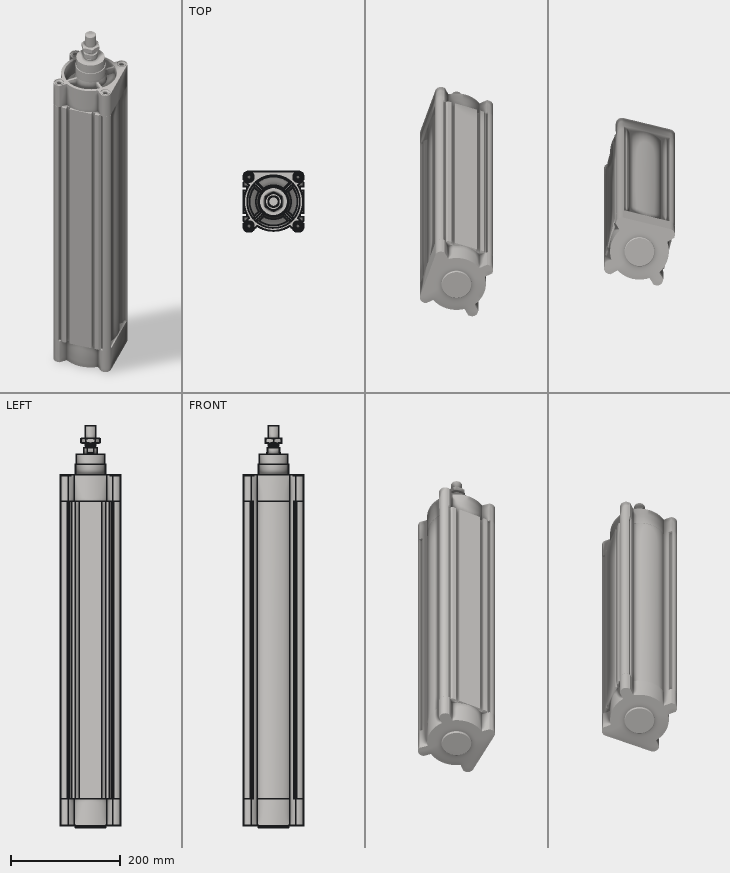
import cadquery as cq
import math

side = 110.0
half_side = side / 2
body_length = 638.0
cap_length = 48.5
collar_diameter = 55.0
bottom_collar_height = 4.0
bottom_collar_chamfer = 1.0
collar_base_height = 19.5
collar_neck_diameter = 52.0
collar_neck_height = 18.0

cap_belly_radius = 53.5
tube_belly_radius = 53.0
post_offset = 44.5
cap_post_radius = half_side - post_offset
tube_post_radius = 10.0
post_flat_end = 40.5
flank_run = 13.0
cap_wall_thickness = 17.0

side_flat_half = 34.5
side_flat_chamfer = 4.0
sensor_slot_offset = 24.2
sensor_slot_width = 6.6
sensor_slot_depth = 6.0

post_slot_mouth_depth = 5.0
post_slot_total_depth = 9.0
x_slot_offset = 40.5
x_slot_mouth_width = 4.1
x_slot_inner_width = 1.0
y_slot_offset = 39.5
y_slot_mouth_width = 6.1
y_slot_inner_width = 2.0

recess_outer_radius = 48.0
recess_inner_radius = collar_diameter / 2
recess_draft = 10.0
pocket_depth = 26.0
port_side_pocket_depth = 13.0
rib_width = 4.0
rib_drop = 1.5

screw_recess_diameter = 17.9
screw_recess_depth = 2.0
screw_head_diameter = 15.0
screw_hole_diameter = 8.38
screw_hole_depth = 20.0
screw_hole_mouth_diameter = 11.4

rod_diameter = 25.0
rod_flats = 22.0
rod_flats_length = 9.5
thread_diameter = 20.0
thread_length = 40.0
thread_core_diameter = 18.38
relief_diameter = 17.9
relief_width = 4.4
relief_cone_height = 1.4
total_length = 731.5

nut_across_flats = 30.0
nut_thickness = 9.0
nut_drop = 23.0
nut_crown_angle = 30.0

head_cap_bottom = body_length - cap_length
collar_step = body_length + collar_base_height
collar_top = collar_step + collar_neck_height
rod_tip = total_length - bottom_collar_height
rod_shoulder = rod_tip - thread_length
rod_bottom = head_cap_bottom
nut_bottom = rod_tip - nut_drop - nut_thickness

post_centres = [(sx * post_offset, sy * post_offset) for sx in (-1, 1) for sy in (-1, 1)]


def plane_at(height):
    return cq.Workplane("XY").workplane(offset=height)


def about_z(body, angle):
    return body.rotate((0, 0, 0), (0, 0, 1), angle)


def cylinder(diameter, bottom, top):
    return plane_at(bottom).circle(diameter / 2).extrude(top - bottom)


def cone(bottom_diameter, top_diameter, bottom, top):
    solid = cq.Solid.makeCone(bottom_diameter / 2, top_diameter / 2, top - bottom, cq.Vector(0, 0, bottom))
    return cq.Workplane(obj=solid)


def block(x_size, y_size, x, y, bottom, top):
    return plane_at(bottom).center(x, y).rect(x_size, y_size).extrude(top - bottom)


def corner_post(round_radius, bottom, top):
    """Post at the -X, -Y corner: rounded outside, 45 degree flanks towards both neighbours."""
    round_start = -half_side + round_radius
    round_middle = round_start - round_radius * math.sqrt(0.5)
    flank_end = -post_flat_end + flank_run
    flank_depth = -half_side + flank_run
    outline = (
        plane_at(bottom)
        .moveTo(round_start, -half_side)
        .lineTo(-post_flat_end, -half_side)
        .lineTo(flank_end, flank_depth)
        .lineTo(flank_depth, flank_end)
        .lineTo(-half_side, -post_flat_end)
        .lineTo(-half_side, round_start)
        .threePointArc((round_middle, round_middle), (round_start, -half_side))
        .close()
    )
    return outline.extrude(top - bottom)


def belly_with_posts(belly_radius, post_radius, bottom, top):
    solid = cylinder(2 * belly_radius, bottom, top)
    post = corner_post(post_radius, bottom, top)
    for quarter in range(4):
        solid = solid.union(about_z(post, 90 * quarter))
    return solid


def cap(bottom, top):
    """Cap with its +Y side filled out to a flat wall between the posts."""
    wall_middle = half_side - cap_wall_thickness / 2
    wall = block(2 * post_offset, cap_wall_thickness, 0, wall_middle, bottom, top)
    return belly_with_posts(cap_belly_radius, cap_post_radius, bottom, top).union(wall)


def post_slot(offset, mouth_width, inner_width, bottom, top):
    """Stepped slot cut into the -Y face at the given X."""
    slot = block(mouth_width, 2 * post_slot_mouth_depth, offset, -half_side, bottom, top)
    return slot.union(block(inner_width, 2 * post_slot_total_depth, offset, -half_side, bottom, top))


def tube(bottom, top):
    side_width = 2 * (side_flat_half + side_flat_chamfer)
    sides = block(side, side_width, 0, 0, bottom, top).edges("|Z").chamfer(side_flat_chamfer)
    solid = belly_with_posts(tube_belly_radius, tube_post_radius, bottom, top).union(sides)
    for sign in (-1, 1):
        y_side_slot = post_slot(sign * y_slot_offset, y_slot_mouth_width, y_slot_inner_width, bottom, top)
        x_side_slot = post_slot(sign * x_slot_offset, x_slot_mouth_width, x_slot_inner_width, bottom, top)
        sensor_slot = block(
            sensor_slot_width, 2 * sensor_slot_depth, sign * sensor_slot_offset, -half_side, bottom, top
        )
        for angle in (0, 180):
            solid = solid.cut(about_z(y_side_slot, angle))
            solid = solid.cut(about_z(x_side_slot, angle + 90))
            solid = solid.cut(about_z(sensor_slot, angle + 90))
    return solid


def ring_recess():
    """Drafted ring around the collar, split into four pockets by drafted ribs on the diagonals."""
    floor = body_length - pocket_depth
    draft = pocket_depth * math.tan(math.radians(recess_draft))
    outer = cone(2 * (recess_outer_radius - draft), 2 * recess_outer_radius, floor, body_length)
    inner = cone(2 * (recess_inner_radius + draft), 2 * recess_inner_radius, floor, body_length)
    ring = outer.cut(inner)

    rib_top = body_length - rib_drop
    rib_foot = rib_width / 2 + (rib_top - floor) * math.tan(math.radians(recess_draft))
    rib_profile = [
        (-rib_foot, floor),
        (rib_foot, floor),
        (rib_width / 2, rib_top),
        (-rib_width / 2, rib_top),
    ]
    rib = cq.Workplane("XZ").polyline(rib_profile).close().extrude(half_side, both=True)
    for angle in (45, -45):
        ring = ring.cut(about_z(rib, angle))

    raised_floor = (
        plane_at(floor)
        .polyline([(0, 0), (half_side, half_side), (-half_side, half_side)])
        .close()
        .extrude(pocket_depth - port_side_pocket_depth)
    )
    return ring.cut(raised_floor)


def screw_recess(x, y):
    """Annular gap around the screw head, and the threaded hole in the head with its conical mouth."""
    recess_floor = body_length - screw_recess_depth
    recess = cylinder(screw_recess_diameter, recess_floor, body_length)
    recess = recess.cut(cylinder(screw_head_diameter, recess_floor, body_length))
    hole = cylinder(screw_hole_diameter, body_length - screw_hole_depth, body_length)
    mouth_depth = (screw_hole_mouth_diameter - screw_hole_diameter) / 2
    mouth = cone(screw_hole_diameter, screw_hole_mouth_diameter, body_length - mouth_depth, body_length)
    return recess.union(hole).union(mouth).translate((x, y, 0))


def make_housing():
    solid = cap(0, cap_length)
    solid = solid.union(tube(cap_length, head_cap_bottom))
    solid = solid.union(cap(head_cap_bottom, body_length))
    bottom_collar = cylinder(collar_diameter, -bottom_collar_height, 0)
    solid = solid.union(bottom_collar.faces("<Z").chamfer(bottom_collar_chamfer))
    solid = solid.union(cylinder(collar_diameter, body_length, collar_step))
    solid = solid.union(cylinder(collar_neck_diameter, collar_step, collar_top))
    solid = solid.cut(ring_recess())
    for x, y in post_centres:
        solid = solid.cut(screw_recess(x, y))
    return solid.cut(cylinder(rod_diameter, rod_bottom, collar_top))


def make_rod():
    shank = cylinder(rod_diameter, rod_bottom, rod_shoulder)
    flats_bottom = rod_shoulder - rod_flats_length
    for sign in (-1, 1):
        shank = shank.cut(
            block(rod_flats, 2 * rod_diameter, sign * rod_flats, 0, flats_bottom, rod_shoulder)
        )
    relief_top = rod_shoulder + relief_width
    cone_top = rod_shoulder + relief_cone_height
    relief_cone = cone(thread_diameter, relief_diameter, rod_shoulder, cone_top)
    relief = cylinder(relief_diameter, cone_top, relief_top)
    thread_chamfer = (thread_diameter - thread_core_diameter) / 2
    thread = cylinder(thread_diameter, relief_top, rod_tip).faces("<Z or >Z").chamfer(thread_chamfer)
    return shank.union(relief_cone).union(relief).union(thread)


def make_nut():
    corner_diameter = nut_across_flats / math.cos(math.pi / 6)
    nut_top = nut_bottom + nut_thickness
    hexagon = about_z(plane_at(nut_bottom).polygon(6, corner_diameter).extrude(nut_thickness), 30)
    crown_width = (corner_diameter - nut_across_flats) / 2
    crown_height = crown_width * math.tan(math.radians(nut_crown_angle))
    crown = cylinder(corner_diameter, nut_bottom, nut_top)
    crown = crown.faces("<Z or >Z").chamfer(crown_height, crown_width)
    return hexagon.intersect(crown).cut(cylinder(thread_diameter, nut_bottom, nut_top))


housing = make_housing()
rod = make_rod()
nut = make_nut()

result = cq.Compound.makeCompound([housing.solids().val(), rod.solids().val(), nut.solids().val()])